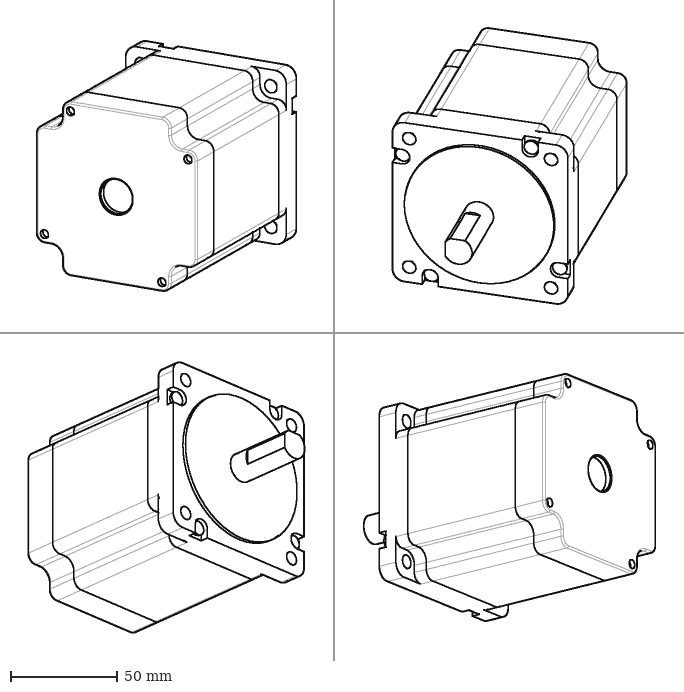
import cadquery as cq

total_length = 135.2
width = 86.0
rear_cap_length = 16.9
stator_length = 64.0
front_cap_length = 17.2
corner_pad_thickness = 10.0

corner_cut = 14.0
outer_corner_radius = 4.6
inner_corner_radius = 6.0
pad_corner_radius = 6.0
rear_edge_radius = 1.0

mount_hole_offset = 34.7
mount_hole_diameter = 6.5

boss_diameter = 73.3
boss_height = 1.8
shaft_diameter = 14.2
flat_length = 24.9
flat_distance = 6.1

recess_diameter = 16.9
recess_depth = 3.1
recess_chamfer = 0.5

screw_count = 4
screw_x = -24.5
screw_z = 38.4
screw_diameter = 4.2
screw_end_depth = 2.5
notch_width = 7.8
notch_depth = 4.0
head_diameter = 7.0
head_height = 2.0

half_width = width / 2
stator_start = rear_cap_length
front_cap_start = stator_start + stator_length
front_face = front_cap_start + front_cap_length
pad_start = front_face - corner_pad_thickness
boss_face = front_face + boss_height
head_seat = front_face - notch_depth


def section_at(y):
    """Workplane at a given Y whose local axes are X and Z; negative extrusions run toward +Y."""
    plane = cq.Plane(origin=(0, y, 0), xDir=(1, 0, 0), normal=(0, -1, 0))
    return cq.Workplane(plane)


def cylinder(diameter, start, end, x=0, z=0):
    """Round bar along Y from start to end."""
    return section_at(start).center(x, z).circle(diameter / 2).extrude(start - end)


def square_bar(side, start, end):
    """Square bar along Y from start to end."""
    return section_at(start).rect(side, side).extrude(start - end)


def scalloped_bar(start, end):
    """Square bar along Y with a rounded cut-out in each corner."""
    bar = square_bar(width, start, end)
    corners = section_at(start).rect(width, width, forConstruction=True).vertices()
    cuts = corners.rect(2 * corner_cut, 2 * corner_cut).extrude(start - end)
    bar = bar.cut(cuts.edges("|Y").fillet(inner_corner_radius))
    outer_corners = bar.faces("<X or >X or <Z or >Z").edges("|Y")
    return outer_corners.fillet(outer_corner_radius)


def at_each_screw(body):
    """Copies of a body placed at the first screw, one per screw."""
    step = 360 / screw_count
    return [body.rotate((0, 0, 0), (0, 1, 0), i * step) for i in range(screw_count)]


def make_screw():
    """Screw with a flat-topped head that rounds in as a ball toward its seat."""
    shank = cylinder(screw_diameter, screw_end_depth, head_seat, screw_x, screw_z)
    head = cylinder(head_diameter, head_seat, head_seat + head_height, screw_x, screw_z)
    ball = cq.Workplane("XY").sphere(head_diameter / 2)
    head = head.intersect(ball.translate((screw_x, head_seat + head_height, screw_z)))
    return shank.union(head)


def drill_screw_holes(body):
    """The body with the four tie screw holes passing through it."""
    hole = cylinder(screw_diameter, 0, front_face, screw_x, screw_z)
    for cutter in at_each_screw(hole):
        body = body.cut(cutter)
    return body


def make_rear_cap():
    """End cap with a rounded rear edge and a shallow round recess."""
    cap = scalloped_bar(0, rear_cap_length)
    cap = cap.faces("<Y").edges().fillet(rear_edge_radius)
    cap = cap.cut(cylinder(recess_diameter, 0, recess_depth))
    widest_circle = cq.selectors.RadiusNthSelector(-1)
    cap = cap.faces("<Y").edges("%CIRCLE").edges(widest_circle).chamfer(recess_chamfer)
    return drill_screw_holes(cap)


def make_stator():
    """Middle section of the housing, between the two caps."""
    return drill_screw_holes(scalloped_bar(stator_start, front_cap_start))


def make_shaft():
    """Round shaft with two flats at right angles, facing +X and +Z, at its tip."""
    flat_start = total_length - flat_length
    round_part = cylinder(shaft_diameter, boss_face, flat_start)
    tip = cylinder(shaft_diameter, flat_start, total_length)
    keep_centre = flat_distance - shaft_diameter / 2
    keep = section_at(flat_start).center(keep_centre, keep_centre).rect(shaft_diameter, shaft_diameter)
    return round_part.union(tip.intersect(keep.extrude(-flat_length)))


def make_notch():
    """Screw head pocket, round at the screw and open through the nearest side."""
    bore = cylinder(notch_width, head_seat, front_face, screw_x, screw_z)
    reach = half_width - screw_z
    opening = section_at(head_seat).center(screw_x, screw_z + reach / 2).rect(notch_width, reach)
    return bore.union(opening.extrude(-notch_depth))


def make_front_cap():
    """Flange with its pilot boss and the output shaft in one piece."""
    pads = square_bar(width, pad_start, front_face).edges("|Y").fillet(pad_corner_radius)
    cap = scalloped_bar(front_cap_start, pad_start).union(pads)

    hole_spacing = 2 * mount_hole_offset
    holes = section_at(pad_start).rect(hole_spacing, hole_spacing, forConstruction=True).vertices()
    cap = cap.cut(holes.circle(mount_hole_diameter / 2).extrude(-corner_pad_thickness))

    cap = drill_screw_holes(cap)
    for notch in at_each_screw(make_notch()):
        cap = cap.cut(notch)

    boss = cylinder(boss_diameter, front_face, boss_face)
    return cap.union(boss).union(make_shaft())


rear_cap = make_rear_cap()
stator = make_stator()
front_cap = make_front_cap()
screws = at_each_screw(make_screw())

result = cq.Compound.makeCompound(
    [rear_cap.val(), stator.val(), front_cap.val(), *[screw.val() for screw in screws]]
)